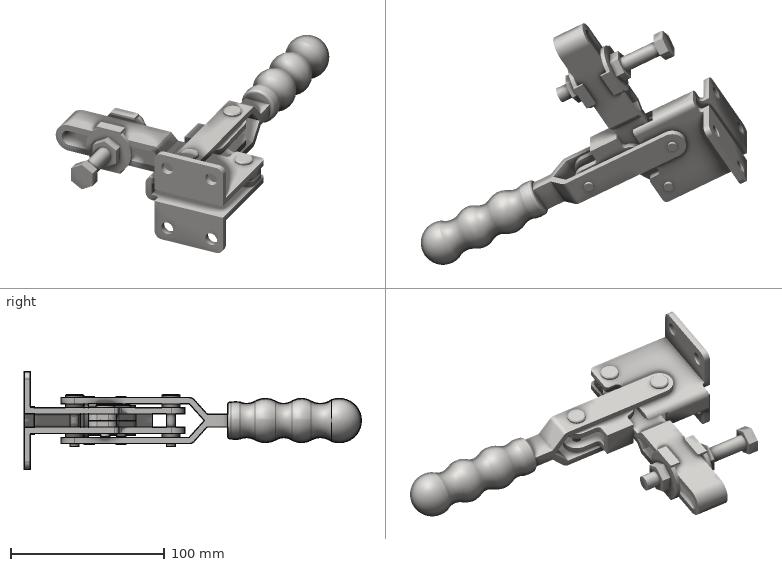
import cadquery as cq
import math


sheet = 4.2
frame_half = 8.5
channel_half = frame_half - sheet
frame_front_x = -19.0
frame_web_x = frame_front_x + sheet

handle_pivot = (0.0, 33.0)
handle_link_pivot = (0.0, 96.0)
link_arm_pivot = (0.0, 63.5)
arm_pivot = (29.7, 53.0)

handle_width = 18.0
fork_outer = 15.1
fork_inner = fork_outer - sheet
fork_bend_angle = math.radians(48)
fork_bend_y = 119.6
grip_end_y = 133.0
tang_end_y = 150.0

pin_radius = 3.0
pin_head_radius = 6.0
pin_head_height = 2.0
pin_head_chamfer = 0.7
pin_tail = 2.0

base_right_x = 40.7
base_top_y = 62.0
base_step_x = 19.0
base_step_y = 52.6
step_fillet = 2.5
base_corner_radius = 3.0
bend_radius = 4.8
inner_bend_radius = bend_radius - sheet
channel_corner_radius = 2.0
channel_bottom_y = 6.6
flange_left_x = -9.2
flange_half = 32.0
flange_corner_radius = 5.0
mount_hole_diameter = 8.5
mount_hole_xs = (0.0, 32.0)
mount_hole_z = 22.6
arm_window_y = 37.0
arm_window_half = 6.0

arm_bottom_y = 42.0
arm_top_y = 64.0
arm_left_x = -102.1
arm_right_x = 40.5
arm_end_radius = 9.6
arm_strip = 4.4
arm_slot_half = arm_end_radius - arm_strip
arm_neck_x = -28.9
arm_inner_neck_x = arm_neck_x - 1.2
arm_bend_angle = math.radians(45.5)
fold_gap_half = 0.15
arm_lobe_radius = 9.5
arm_shoulder = (23.5, 62.0)
arm_tail_x = 26.5
arm_tail_y = 60.5
arm_tail_fillet = 5.5

link_web_top_y = 84.0
link_lobe_radius = 9.7
link_ear_radius = 9.0
link_fillet = 2.5

spindle_x = -62.3
spindle_radius = 5.0
spindle_top_y = 82.0
bolt_head_flats = 16.0
bolt_head_height = 6.7
nut_flats = 17.0
nut_height = 6.0
washer_radius = 16.3
washer_thickness = 2.7
washer_lip_half = 15.7
washer_lip_width = 17.5
washer_lip_length = 6.8
washer_lip_thickness = 1.5


def slab(outline, z_low, z_high):
    """Extrude a closed XY outline between two heights."""
    return outline.extrude(z_high - z_low).translate((0, 0, z_low))


def box(x_low, x_high, y_low, y_high, z_low, z_high):
    size = (x_high - x_low, y_high - y_low, z_high - z_low)
    return cq.Workplane("XY").box(*size, centered=False).translate((x_low, y_low, z_low))


def cylinder(centre, radius, z_low, z_high):
    return slab(cq.Workplane("XY").center(*centre).circle(radius), z_low, z_high)


def y_prism(profile, y_low, y_high):
    """Extrude an XZ profile along +Y between two Y positions."""
    return profile.extrude(-(y_high - y_low)).translate((0, y_low, 0))


def pivot_pin(centre, outer_half, spacer=False):
    """Headed pin seated on sheets whose outer faces lie at +-outer_half."""
    head = cylinder(centre, pin_head_radius, outer_half, outer_half + pin_head_height)
    head = head.faces(">Z").chamfer(pin_head_chamfer)
    shaft = cylinder(centre, pin_radius, -outer_half - pin_tail, outer_half)
    pin = shaft.union(head)
    if spacer:
        for z_low in (frame_half, -fork_inner):
            pin = pin.union(cylinder(centre, pin_head_radius, z_low, z_low + fork_inner - frame_half))
    return pin


def pin_hole(centre):
    return cylinder(centre, pin_radius, -fork_outer, fork_outer)


def tangent_points(centre_a, radius_a, centre_b, radius_b):
    """Touch points of the tangent line on the left of the direction from a to b."""
    dx = centre_b[0] - centre_a[0]
    dy = centre_b[1] - centre_a[1]
    angle = math.atan2(dy, dx) + math.acos((radius_a - radius_b) / math.hypot(dx, dy))
    direction = (math.cos(angle), math.sin(angle))
    return [
        (centre[0] + radius * direction[0], centre[1] + radius * direction[1])
        for centre, radius in ((centre_a, radius_a), (centre_b, radius_b))
    ]


def make_base():
    outline = (
        cq.Workplane("XY")
        .moveTo(frame_front_x, channel_bottom_y)
        .lineTo(flange_left_x - step_fillet, channel_bottom_y)
        .tangentArcPoint((flange_left_x, channel_bottom_y - step_fillet), relative=False)
        .lineTo(flange_left_x, 0)
        .lineTo(base_right_x, 0)
        .lineTo(base_right_x, base_top_y)
        .lineTo(base_step_x, base_top_y)
        .lineTo(base_step_x, base_step_y)
        .lineTo(frame_front_x, base_step_y)
        .close()
    )
    body = slab(outline, -frame_half, frame_half)
    for x, y, radius in (
        (base_right_x, base_top_y, base_corner_radius),
        (base_step_x, base_top_y, step_fillet),
        (base_step_x, base_step_y, step_fillet),
    ):
        body = body.edges(cq.selectors.NearestToPointSelector((x, y, 0))).fillet(radius)
    body = body.faces("<X").edges("|Y").fillet(bend_radius)

    corner_centre = (frame_front_x + channel_corner_radius, base_step_y - channel_corner_radius)
    corner_block = box(frame_front_x, corner_centre[0], corner_centre[1], base_step_y,
                       -frame_half, frame_half)
    corner_round = cylinder(corner_centre, channel_corner_radius, -frame_half, frame_half)
    body = body.cut(corner_block.cut(corner_round))

    channel = box(frame_web_x, base_right_x, 0, base_top_y, -channel_half, channel_half)
    body = body.cut(channel.edges("|Y and <X").fillet(inner_bend_radius))
    body = body.cut(box(frame_front_x, frame_web_x + inner_bend_radius, arm_window_y, base_step_y,
                        -arm_window_half, arm_window_half))

    flange_plate = box(flange_left_x, base_right_x, 0, sheet, -flange_half, flange_half)
    flange_plate = flange_plate.edges("|Y").fillet(flange_corner_radius)
    flange_plate = flange_plate.cut(
        box(flange_left_x, base_right_x, 0, sheet, -channel_half, channel_half))
    hole_places = [(x, side * mount_hole_z) for x in mount_hole_xs for side in (-1, 1)]
    holes = cq.Workplane("XZ").pushPoints(hole_places).circle(mount_hole_diameter / 2)
    body = body.union(flange_plate).cut(y_prism(holes, 0, sheet))

    body = body.union(pivot_pin(arm_pivot, frame_half))
    return body.union(pivot_pin(handle_pivot, fork_outer, spacer=True))


def make_arm():
    blade_half = channel_half
    loop_centre_x = arm_left_x + arm_end_radius
    neck_end_x = arm_neck_x + (arm_end_radius - blade_half) / math.tan(arm_bend_angle)
    inner_tip_x = arm_inner_neck_x + (arm_slot_half - fold_gap_half) / math.tan(arm_bend_angle)
    strip = (
        cq.Workplane("XZ")
        .moveTo(arm_right_x, blade_half)
        .lineTo(neck_end_x, blade_half)
        .lineTo(arm_neck_x, arm_end_radius)
        .lineTo(loop_centre_x, arm_end_radius)
        .threePointArc((arm_left_x, 0), (loop_centre_x, -arm_end_radius))
        .lineTo(arm_neck_x, -arm_end_radius)
        .lineTo(neck_end_x, -blade_half)
        .lineTo(arm_right_x, -blade_half)
        .close()
    )
    lobe_top_y = link_arm_pivot[1] + arm_lobe_radius
    arm = y_prism(strip, arm_bottom_y, lobe_top_y)

    slot = (
        cq.Workplane("XZ")
        .moveTo(arm_right_x, fold_gap_half)
        .lineTo(inner_tip_x, fold_gap_half)
        .lineTo(arm_inner_neck_x, arm_slot_half)
        .lineTo(loop_centre_x, arm_slot_half)
        .threePointArc((loop_centre_x - arm_slot_half, 0), (loop_centre_x, -arm_slot_half))
        .lineTo(arm_inner_neck_x, -arm_slot_half)
        .lineTo(inner_tip_x, -fold_gap_half)
        .lineTo(arm_right_x, -fold_gap_half)
        .close()
    )
    arm = arm.cut(y_prism(slot, arm_bottom_y, lobe_top_y))

    lobe_tangent = tangent_points(link_arm_pivot, arm_lobe_radius, arm_shoulder, 0)[0]
    side_outline = (
        cq.Workplane("XY")
        .moveTo(arm_left_x, arm_bottom_y)
        .lineTo(arm_right_x, arm_bottom_y)
        .lineTo(arm_right_x, arm_tail_y)
        .lineTo(arm_tail_x, arm_tail_y)
        .lineTo(*arm_shoulder)
        .lineTo(*lobe_tangent)
        .lineTo(link_arm_pivot[0], arm_top_y)
        .lineTo(arm_left_x, arm_top_y)
        .close()
    )
    side = slab(side_outline, -arm_end_radius, arm_end_radius)
    side = side.edges("|Z and >X").fillet(arm_tail_fillet)
    side = side.union(cylinder(link_arm_pivot, arm_lobe_radius, -arm_end_radius, arm_end_radius))
    arm = arm.intersect(side)
    for centre in (arm_pivot, link_arm_pivot):
        arm = arm.cut(pin_hole(centre))
    return arm


def make_link():
    right_high, right_low = tangent_points(
        handle_link_pivot, link_ear_radius, link_arm_pivot, link_lobe_radius)
    ear_left_x = handle_link_pivot[0] - link_ear_radius
    lobe_left_x = link_arm_pivot[0] - link_lobe_radius
    outline = (
        cq.Workplane("XY")
        .moveTo(frame_front_x, arm_top_y)
        .lineTo(lobe_left_x - link_fillet, arm_top_y)
        .tangentArcPoint((lobe_left_x, arm_top_y - link_fillet), relative=False)
        .threePointArc((link_arm_pivot[0], link_arm_pivot[1] - link_lobe_radius), right_low)
        .lineTo(*right_high)
        .threePointArc(
            (handle_link_pivot[0], handle_link_pivot[1] + link_ear_radius),
            (ear_left_x, handle_link_pivot[1]),
        )
        .lineTo(ear_left_x, link_web_top_y + link_fillet)
        .tangentArcPoint((ear_left_x - link_fillet, link_web_top_y), relative=False)
        .lineTo(frame_front_x, link_web_top_y)
        .close()
    )
    body = slab(outline, -frame_half, frame_half)
    inner_reach = link_lobe_radius + link_ear_radius
    body = body.cut(box(frame_web_x, inner_reach, 0, handle_link_pivot[1] + inner_reach,
                        -channel_half, channel_half))
    body = body.union(pivot_pin(link_arm_pivot, frame_half))
    return body.union(pivot_pin(handle_link_pivot, fork_outer, spacer=True))


def make_grip():
    top_y = 220.4
    bulb_radius = 14.5
    neck_radius = 11.2
    blend_radius = 12.7
    end_radius = 10.7
    collar_radius = 12.4
    collar_edge_radius = 12.1
    dome_y = top_y - bulb_radius
    dome_end_y = 200.9
    dome_end_radius = math.sqrt(bulb_radius**2 - (dome_y - dome_end_y) ** 2)
    dome_middle = bulb_radius / math.sqrt(2)
    end_round_middle = (11.8, 133.8)

    waves = (
        (neck_radius, 194.2, blend_radius, 187.6),
        (bulb_radius, 181.3, blend_radius, 174.9),
        (neck_radius, 169.6, blend_radius, 164.3),
        (bulb_radius, 157.6, blend_radius, 151.0),
        (neck_radius, 145.0, collar_edge_radius, 141.0),
        (collar_radius, 138.0, collar_edge_radius, 135.3),
    )

    profile = (
        cq.Workplane("XY")
        .moveTo(0, grip_end_y)
        .lineTo(0, top_y)
        .threePointArc((dome_middle, dome_y + dome_middle), (dome_end_radius, dome_end_y))
    )
    for middle_radius, middle_y, end_of_wave_radius, end_of_wave_y in waves:
        profile = profile.threePointArc((middle_radius, middle_y), (end_of_wave_radius, end_of_wave_y))
    profile = profile.threePointArc(end_round_middle, (end_radius, grip_end_y)).close()
    return profile.revolve(360, (0, 0, 0), (0, 1, 0))


def make_handle():
    bend_run = (fork_outer - sheet) / math.tan(fork_bend_angle)
    inner_shift = sheet * math.tan(fork_bend_angle / 2)
    inner_apex_y = fork_bend_y - inner_shift
    inner_knee_y = fork_bend_y - bend_run - inner_shift
    knee_start_y = inner_knee_y + sheet * math.sin(fork_bend_angle)
    knee_start_z = fork_inner + sheet * math.cos(fork_bend_angle)
    half_width = handle_width / 2
    fork_end_y = handle_pivot[1] - half_width
    fork_outline = (
        cq.Workplane("YZ")
        .moveTo(tang_end_y, sheet)
        .lineTo(fork_bend_y, sheet)
        .lineTo(knee_start_y, knee_start_z)
        .tangentArcPoint((inner_knee_y, fork_outer), relative=False)
        .lineTo(fork_end_y, fork_outer)
        .lineTo(fork_end_y, fork_inner)
        .lineTo(inner_knee_y, fork_inner)
        .lineTo(inner_apex_y, 0)
        .lineTo(inner_knee_y, -fork_inner)
        .lineTo(fork_end_y, -fork_inner)
        .lineTo(fork_end_y, -fork_outer)
        .lineTo(inner_knee_y, -fork_outer)
        .tangentArcPoint((knee_start_y, -knee_start_z), relative=False)
        .lineTo(fork_bend_y, -sheet)
        .lineTo(tang_end_y, -sheet)
        .close()
    )
    fork = fork_outline.extrude(half_width, both=True)
    rounded = cylinder(handle_pivot, half_width, -fork_outer, fork_outer)
    rounded = rounded.union(
        box(-half_width, half_width, handle_pivot[1], tang_end_y, -fork_outer, fork_outer))
    handle = fork.intersect(rounded).union(make_grip())
    for centre in (handle_pivot, handle_link_pivot):
        handle = handle.cut(pin_hole(centre))
    return handle


def hexagon(flats, y_low, y_high):
    """Hexagonal prism on the spindle axis with two corners along Z."""
    profile = cq.Workplane("XZ").polygon(6, flats / math.cos(math.pi / 6))
    prism = y_prism(profile, y_low, y_high).rotate((0, 0, 0), (0, 1, 0), 30)
    return prism.translate((spindle_x, 0, 0))


def make_clamping_pair():
    """Nut and lipped washer seated on the upper edge of the arm."""
    washer_top_y = arm_top_y + washer_thickness
    disc = cq.Workplane("XZ").center(spindle_x, 0).circle(washer_radius)
    pair = y_prism(disc, arm_top_y, washer_top_y)
    half_lip = washer_lip_width / 2
    pair = pair.intersect(box(spindle_x - washer_radius, spindle_x + washer_radius,
                              arm_top_y, washer_top_y, -washer_lip_half, washer_lip_half))
    pair = pair.union(box(spindle_x - half_lip, spindle_x + half_lip,
                          arm_top_y, washer_top_y, -washer_lip_half, washer_lip_half))
    for z_low in (-washer_lip_half, washer_lip_half - washer_lip_thickness):
        pair = pair.union(box(spindle_x - half_lip, spindle_x + half_lip,
                              washer_top_y - washer_lip_length, washer_top_y,
                              z_low, z_low + washer_lip_thickness))
    return pair.union(hexagon(nut_flats, washer_top_y, washer_top_y + nut_height))


def make_spindle():
    shank = cq.Workplane("XZ").center(spindle_x, 0).circle(spindle_radius)
    spindle = y_prism(shank, 0, spindle_top_y)
    spindle = spindle.union(hexagon(bolt_head_flats, 0, bolt_head_height))
    upper_pair = make_clamping_pair()
    arm_middle = (0, (arm_bottom_y + arm_top_y) / 2, 0)
    return spindle.union(upper_pair).union(upper_pair.mirror("XZ", arm_middle))


base = make_base()
arm = make_arm()
link = make_link()
handle = make_handle()
spindle = make_spindle()

bodies = (base, arm, link, handle, spindle)
result = cq.Compound.makeCompound([body.solids().val() for body in bodies])